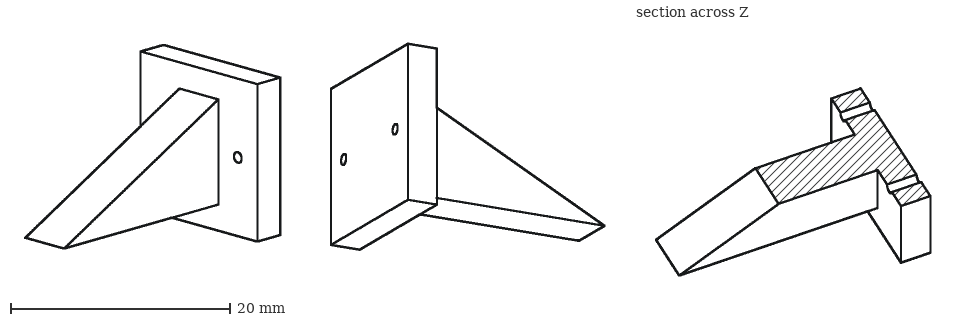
import cadquery as cq

total_depth = 23.0
plate_side = 15.0
plate_thickness = 3.0
wedge_width = 5.0
wedge_height = 10.0
hole_diameter = 1.0
hole_spacing = 10.0

wedge_length = total_depth - plate_thickness


def make_plate():
    """Square plate with its front face on Y = 0 and its back toward +Y."""
    return cq.Workplane("XY").box(
        plate_side, plate_thickness, plate_side, centered=(True, False, True)
    )


def make_wedge():
    """Triangular wedge tapering from the plate to a sharp edge at its bottom."""
    bottom = -wedge_height / 2
    return (
        cq.Workplane("YZ")
        .moveTo(0, bottom)
        .lineTo(-wedge_length, bottom)
        .lineTo(0, wedge_height / 2)
        .close()
        .extrude(wedge_width / 2, both=True)
    )


def make_holes():
    """Two through-hole cutters, one on each side of the wedge."""
    return (
        cq.Workplane("XZ")
        .pushPoints([(-hole_spacing / 2, 0), (hole_spacing / 2, 0)])
        .circle(hole_diameter / 2)
        .extrude(-plate_thickness)
    )


result = make_plate().union(make_wedge()).cut(make_holes())